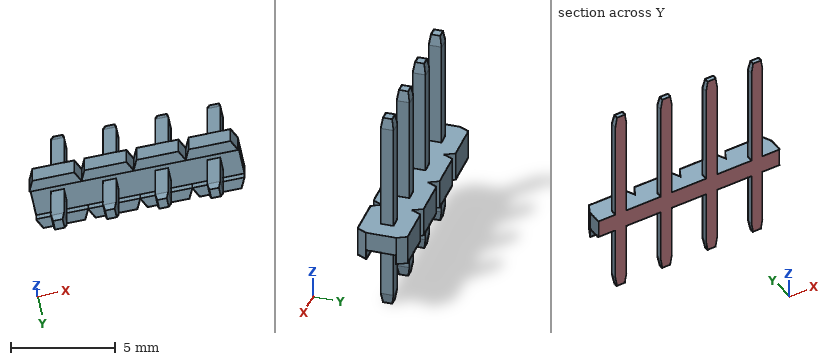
import cadquery as cq

pin_count = 4
pitch = 2.54
housing_width = 2.5
housing_height = 1.5
corner_length = 0.25
corner_depth = 0.5

channel_width = 1.45
channel_height = 0.5

pin_side = 0.64
tip_side = 0.46
tip_length = 0.56
pin_bottom = -3.0
pin_length = 10.5

row_length = pin_count * pitch
pin_top = pin_bottom + pin_length
pin_positions = [(i - (pin_count - 1) / 2) * pitch for i in range(pin_count)]


def housing_cell(x):
    """One octagonal cell; neighbouring corners form the V-notches between pins."""
    half_length = pitch / 2
    half_width = housing_width / 2
    flat_x = half_length - corner_length
    flat_y = half_width - corner_depth
    outline = [
        (-half_length, -flat_y),
        (-flat_x, -half_width),
        (flat_x, -half_width),
        (half_length, -flat_y),
        (half_length, flat_y),
        (flat_x, half_width),
        (-flat_x, half_width),
        (-half_length, flat_y),
    ]
    return cq.Workplane("XY").center(x, 0).polyline(outline).close().extrude(housing_height)


def underside_channel():
    return cq.Workplane("XY").rect(row_length, channel_width).extrude(channel_height)


def pin_tip(x, base_z, end_z):
    """Tapered pin end running from the full section to the small end face."""
    return (
        cq.Workplane("XY", origin=(x, 0, base_z))
        .rect(pin_side, pin_side)
        .workplane(offset=end_z - base_z)
        .rect(tip_side, tip_side)
        .loft(ruled=True)
    )


def pin(x):
    shank_bottom = pin_bottom + tip_length
    shank_top = pin_top - tip_length
    shank = (
        cq.Workplane("XY", origin=(x, 0, shank_bottom))
        .rect(pin_side, pin_side)
        .extrude(shank_top - shank_bottom)
    )
    return shank.union(pin_tip(x, shank_bottom, pin_bottom)).union(pin_tip(x, shank_top, pin_top))


housing = housing_cell(pin_positions[0])
for position in pin_positions[1:]:
    housing = housing.union(housing_cell(position))
housing = housing.cut(underside_channel())

result = housing
for position in pin_positions:
    result = result.union(pin(position))